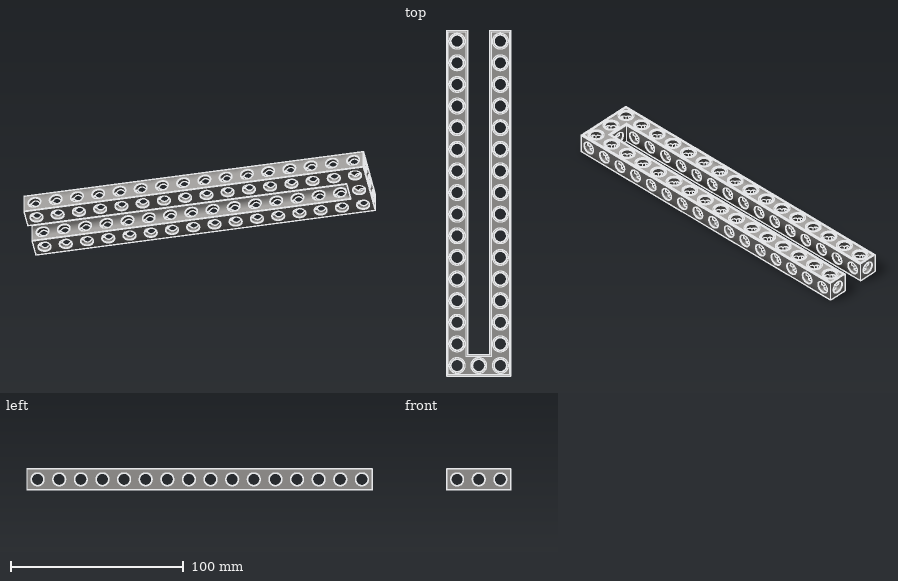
import cadquery as cq

length = 200.0
hole_rows = 16
hole_columns = 3
pitch = length / hole_rows
width = hole_columns * pitch
height = pitch

slot_width = pitch
slot_length = length - pitch

hole_diameter = 7.0
edge_chamfer = 0.3

recess_depth = 0.1
recess_margin = 1.1
open_end_margin = recess_margin - edge_chamfer
hole_rim_diameter = hole_diameter + 2 * recess_margin

column_positions = [(i - (hole_columns - 1) / 2) * pitch for i in range(hole_columns)]
row_positions = [(i - (hole_rows - 1) / 2) * pitch for i in range(hole_rows)]
left_column, middle_column, right_column = column_positions
closed_row = row_positions[0]
slot_center_y = (length - slot_length) / 2
vertical_hole_points = [(x, y) for x in (left_column, right_column) for y in row_positions]
vertical_hole_points.append((middle_column, closed_row))


def make_body():
    """U-shaped block, open toward +Y, chamfered on all outline edges except at the open end."""
    block = cq.Workplane("XY").box(width, length, height)
    block = block.edges("|Z and <Y").chamfer(edge_chamfer)
    slot = cq.Workplane("XY").box(slot_width, slot_length, height).translate((middle_column, slot_center_y, 0))
    body = block.cut(slot)
    return body.faces("<Z or >Z").edges("not(>Y)").chamfer(edge_chamfer)


def make_hole_cutter(depth, axis):
    """Through-hole cutter centred on the origin along an axis, widened by a chamfer at both mouths."""
    radius = hole_diameter / 2
    mouth_radius = radius + edge_chamfer
    end = depth / 2
    profile = [
        (0, -end),
        (mouth_radius, -end),
        (radius, edge_chamfer - end),
        (radius, end - edge_chamfer),
        (mouth_radius, end),
        (0, end),
    ]
    cutter = cq.Workplane("XZ").polyline(profile).close().revolve(360, (0, 0), (0, 1))
    if axis == "X":
        return cutter.rotate((0, 0, 0), (0, 1, 0), 90)
    if axis == "Y":
        return cutter.rotate((0, 0, 0), (1, 0, 0), 90)
    return cutter


def place_cutters(cutter, points):
    """Copies of a cutter at points in the XY mid-plane."""
    return [cutter.val().moved(cq.Location(cq.Vector(x, y, 0))) for x, y in points]


def make_holes():
    """All hole cutters, along Z, X and Y."""
    arm_points = [(x, y) for x in (left_column, right_column) for y in row_positions[1:]]
    cutters = place_cutters(make_hole_cutter(height, "Z"), vertical_hole_points)
    cutters += place_cutters(make_hole_cutter(pitch, "X"), arm_points)
    cutters += place_cutters(make_hole_cutter(width, "X"), [(middle_column, closed_row)])
    cutters += place_cutters(make_hole_cutter(length, "Y"), [(left_column, 0), (right_column, 0)])
    cutters += place_cutters(make_hole_cutter(pitch, "Y"), [(middle_column, closed_row)])
    return cutters


def make_recess():
    """Thin U-shaped cutter for the top face, with a round island left about each vertical hole."""
    bottom = height / 2 - recess_depth
    outer_x = width / 2 - recess_margin
    inner_x = slot_width / 2 + recess_margin
    open_y = length / 2 - open_end_margin
    closed_y = -length / 2 + recess_margin
    slot_end_y = length / 2 - slot_length - recess_margin
    outline = [
        (-outer_x, closed_y),
        (outer_x, closed_y),
        (outer_x, open_y),
        (inner_x, open_y),
        (inner_x, slot_end_y),
        (-inner_x, slot_end_y),
        (-inner_x, open_y),
        (-outer_x, open_y),
    ]
    floor = cq.Workplane("XY").workplane(offset=bottom)
    islands = floor.pushPoints(vertical_hole_points).circle(hole_rim_diameter / 2).extrude(recess_depth)
    return floor.polyline(outline).close().extrude(recess_depth).cut(islands)


body = make_body().val().cut(*make_holes(), make_recess().val())
result = cq.Workplane("XY").newObject([body])